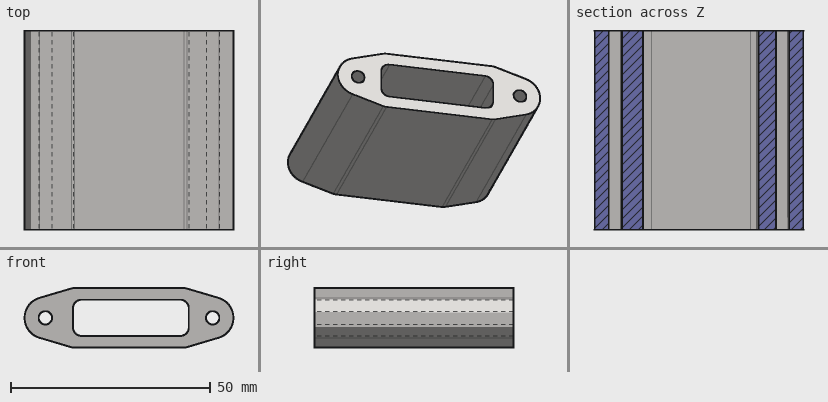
import cadquery as cq
import math

width = 52.45
length = 50.0
height = 15.0

end_radius = 5.25
end_center_x = width / 2 - end_radius
hole_diameter = 3.3

corner_x = 14.1
corner_blend_radius = 3.0

window_width = 29.0
window_height = 9.0
window_corner_radius = 2.1
window_offset_x = 0.45


def make_body():
    """Extrude the six-sided profile whose slopes run tangent into the round ends."""
    half_height = height / 2
    run = end_center_x - corner_x
    distance = math.hypot(run, half_height)
    tangent_angle = math.atan2(half_height, -run) - math.acos(end_radius / distance)
    tangent_x = end_center_x + end_radius * math.cos(tangent_angle)
    tangent_z = end_radius * math.sin(tangent_angle)
    body = (
        cq.Workplane("XZ")
        .moveTo(-corner_x, half_height)
        .lineTo(corner_x, half_height)
        .lineTo(tangent_x, tangent_z)
        .threePointArc((width / 2, 0), (tangent_x, -tangent_z))
        .lineTo(corner_x, -half_height)
        .lineTo(-corner_x, -half_height)
        .lineTo(-tangent_x, -tangent_z)
        .threePointArc((-width / 2, 0), (-tangent_x, tangent_z))
        .close()
        .extrude(length / 2, both=True)
    )
    shoulder_edges = body.faces(">Z or <Z").edges("|Y")
    return shoulder_edges.fillet(corner_blend_radius)


def make_window():
    """Rounded rectangular opening along the full length."""
    block = cq.Workplane("XY").box(window_width, length, window_height)
    return block.edges("|Y").fillet(window_corner_radius).translate((window_offset_x, 0, 0))


def make_end_holes():
    """Through holes along Y at the centers of the round ends."""
    return (
        cq.Workplane("XZ")
        .pushPoints([(-end_center_x, 0), (end_center_x, 0)])
        .circle(hole_diameter / 2)
        .extrude(length / 2, both=True)
    )


result = make_body().cut(make_window()).cut(make_end_holes())